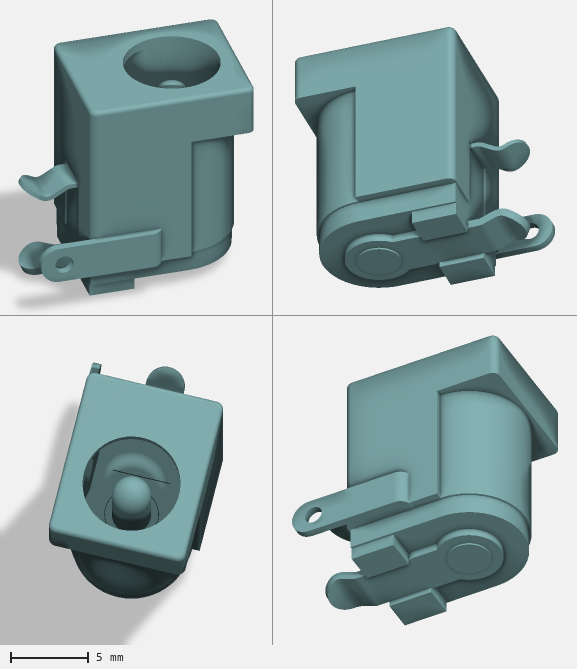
import cadquery as cq
import math


HALF_WIDTH = 4.51
BACK_Y = 4.29
FRONT_Y = -6.7
HEIGHT = 11.98
CORNER_RADIUS = 0.51
TOP_FILLET = 0.29
OVERHANG_Z = 8.67
BARREL_RADIUS = 4.02
BORE_RADIUS = 3.15
BORE_FLOOR_Z = 4.74

CAVITY_HALF_WIDTH = 3.0
CAVITY_ROOF = 0.61
CAVITY_TOP_Z = HEIGHT - CAVITY_ROOF
CAVITY_FRONT_Y = -5.8

BASE_HALF_WIDTH = 3.85
BASE_HEIGHT = 1.45
BASE_FRONT_Y = -6.58
FOOT_HEIGHT = 0.87
FOOT_LENGTH = 3.02
FOOT_OUTER_X = 3.7
FOOT_INNER_X = 1.55

RECESS_WIDTH = 3.03
RECESS_HEIGHT = 4.87

PIN_RADIUS = 1.26
PIN_TOP_Z = 10.44
COLLAR_RADIUS = 1.71
COLLAR_HOLE_RADIUS = 1.75
RIVET_RADIUS = 1.42
RIVET_HEIGHT = 0.12

SPRING_THICKNESS = 0.3
SPRING_TAB_WIDTH = 2.51
SPRING_PLATE_WIDTH = 3.77
SPRING_EDGE_Y = -2.62
FLOOR_EDGE_Y = -2.57
SPRING_FLAT_END_Y = -7.1
SPRING_ANGLE = 30.0
SPRING_SLOPE = 0.93
SPRING_BEND_RADII = (0.75, 0.75)
SPRING_TIP_LENGTH = 1.26

SHEET = 0.54
TERMINAL_DISC_RADIUS = 2.2
TERMINAL_STRIP_WIDTH = 3.25
TERMINAL_SHOULDER_Y = -3.1
TERMINAL_TAB_WIDTH = 3.03
SHOULDER_RADIUS = 1.16
TERMINAL_FLAT_END_Y = -7.34
TERMINAL_ANGLE = 22.0
TERMINAL_SLOPE = 0.87
TERMINAL_BEND_RADII = (0.52, 1.16)
TERMINAL_TIP_LENGTH = 0.97

SIDE_TAB_RADIUS = 1.25
SIDE_TAB_Z = 1.22
SIDE_TIP_Y = -10.21
SIDE_HOLE_Y = -8.67
SIDE_HOLE_RADIUS = 0.61
SIDE_BEND_RADIUS = 0.85
SIDE_BACK_Y = -1.95


def block(x_range, y_range, z_range):
    """Box between two limits along each axis."""
    size = [high - low for low, high in (x_range, y_range, z_range)]
    corner = (x_range[0], y_range[0], z_range[0])
    return cq.Workplane("XY").box(*size, centered=False).translate(corner)


def cylinder(radius, bottom, top):
    """Cylinder on the pin axis."""
    return cq.Workplane("XY").workplane(offset=bottom).circle(radius).extrude(top - bottom)


def wavy_tab(width, thickness, start_y, flat_end_y, mid_z, angle, slope, bend_radii, tip_length, side):
    """Flat strip along -Y that bends by an angle, bends back by twice that angle and
    ends in a straight tip with a round end. The first bend goes up for side = 1 and
    down for side = -1. The path runs along the middle of the sheet."""
    cosine = math.cos(math.radians(angle))
    sine = math.sin(math.radians(angle))
    first_radius, second_radius = bend_radii
    slope_start = (
        flat_end_y - first_radius * sine,
        mid_z + side * first_radius * (1 - cosine),
    )
    slope_end = (slope_start[0] - slope * cosine, slope_start[1] + side * slope * sine)
    tip_start = (slope_end[0] - 2 * second_radius * sine, slope_end[1])
    tip_end = (tip_start[0] - tip_length * cosine, tip_start[1] - side * tip_length * sine)
    path = (
        cq.Workplane("YZ")
        .moveTo(start_y, mid_z)
        .lineTo(flat_end_y, mid_z)
        .tangentArcPoint(slope_start, relative=False)
        .lineTo(*slope_end)
        .tangentArcPoint(tip_start, relative=False)
        .lineTo(*tip_end)
    )
    strip = cq.Workplane("XZ", origin=(0, start_y, mid_z)).rect(width, thickness).sweep(path)

    radius = width / 2
    tip_plane = cq.Plane(origin=(0, *tip_end), xDir=(1, 0, 0), normal=(0, -side * sine, cosine))
    cutter_height = 2 * thickness
    square = cq.Workplane(tip_plane).center(0, radius / 2).rect(width, radius)
    disc = cq.Workplane(tip_plane).center(0, radius).circle(radius)
    corners = square.extrude(cutter_height, both=True).cut(disc.extrude(cutter_height, both=True))
    return strip.cut(corners)


def make_spring_contact():
    top = BORE_FLOOR_Z
    bottom = top - SPRING_THICKNESS
    half_width = SPRING_PLATE_WIDTH / 2
    plate = block((-half_width, half_width), (CAVITY_FRONT_Y, SPRING_EDGE_Y), (bottom, top))
    tab = wavy_tab(
        SPRING_TAB_WIDTH, SPRING_THICKNESS, CAVITY_FRONT_Y, SPRING_FLAT_END_Y,
        (top + bottom) / 2, SPRING_ANGLE, SPRING_SLOPE, SPRING_BEND_RADII,
        SPRING_TIP_LENGTH, -1,
    )
    return plate.union(tab)


def make_pin_terminal():
    top = -BASE_HEIGHT
    bottom = top - SHEET
    strip_x = TERMINAL_STRIP_WIDTH / 2
    strip_end_y = TERMINAL_SHOULDER_Y - SHOULDER_RADIUS
    disc = cylinder(TERMINAL_DISC_RADIUS, bottom, top)
    strip = block((-strip_x, strip_x), (strip_end_y, 0), (bottom, top))
    strip = strip.edges("|Z and <Y").fillet(SHOULDER_RADIUS)
    tab = wavy_tab(
        TERMINAL_TAB_WIDTH, SHEET, TERMINAL_SHOULDER_Y, TERMINAL_FLAT_END_Y,
        (top + bottom) / 2, TERMINAL_ANGLE, TERMINAL_SLOPE, TERMINAL_BEND_RADII,
        TERMINAL_TIP_LENGTH, 1,
    )
    return disc.union(strip).union(tab).cut(cylinder(PIN_RADIUS, bottom, top))


def make_side_terminal():
    outer_x = HALF_WIDTH + SHEET
    bend_x = outer_x - SIDE_BEND_RADIUS
    bend_y = SIDE_BACK_Y - SIDE_BEND_RADIUS
    disc_y = SIDE_TIP_Y + SIDE_TAB_RADIUS
    bottom = SIDE_TAB_Z - SIDE_TAB_RADIUS
    width = 2 * SIDE_TAB_RADIUS
    inner_radius = SIDE_BEND_RADIUS - SHEET
    diagonal = math.sqrt(0.5)
    sheet = (
        cq.Workplane("XY")
        .workplane(offset=bottom)
        .moveTo(BASE_HALF_WIDTH, SIDE_BACK_Y)
        .lineTo(bend_x, SIDE_BACK_Y)
        .threePointArc(
            (bend_x + SIDE_BEND_RADIUS * diagonal, bend_y + SIDE_BEND_RADIUS * diagonal),
            (outer_x, bend_y),
        )
        .lineTo(outer_x, disc_y)
        .lineTo(HALF_WIDTH, disc_y)
        .lineTo(HALF_WIDTH, bend_y)
        .threePointArc(
            (bend_x + inner_radius * diagonal, bend_y + inner_radius * diagonal),
            (bend_x, bend_y + inner_radius),
        )
        .lineTo(BASE_HALF_WIDTH, bend_y + inner_radius)
        .close()
        .extrude(width)
    )
    side_plane = cq.Workplane("YZ", origin=(HALF_WIDTH, 0, SIDE_TAB_Z))
    tip = side_plane.center(disc_y, 0).circle(SIDE_TAB_RADIUS).extrude(SHEET)
    hole = side_plane.center(SIDE_HOLE_Y, 0).circle(SIDE_HOLE_RADIUS).extrude(SHEET)
    return sheet.union(tip).cut(hole)


def make_pin():
    rivet_top = -BASE_HEIGHT - SHEET
    dome_z = PIN_TOP_Z - PIN_RADIUS
    dome = cq.Workplane("XY").sphere(PIN_RADIUS).translate((0, 0, dome_z))
    rivet = cylinder(RIVET_RADIUS, rivet_top - RIVET_HEIGHT, rivet_top)
    return cylinder(PIN_RADIUS, rivet_top, dome_z).union(dome).union(rivet)


def make_collar():
    return cylinder(COLLAR_RADIUS, 0, BORE_FLOOR_Z).cut(cylinder(PIN_RADIUS, 0, BORE_FLOOR_Z))


def make_base():
    body = block((-BASE_HALF_WIDTH, BASE_HALF_WIDTH), (BASE_FRONT_Y, 0), (-BASE_HEIGHT, 0))
    body = body.union(cylinder(BASE_HALF_WIDTH, -BASE_HEIGHT, 0))
    foot_y = (BASE_FRONT_Y, BASE_FRONT_Y + FOOT_LENGTH)
    foot_z = (-BASE_HEIGHT - FOOT_HEIGHT, -BASE_HEIGHT)
    for foot_x in ((-FOOT_OUTER_X, -FOOT_INNER_X), (FOOT_INNER_X, FOOT_OUTER_X)):
        body = body.union(block(foot_x, foot_y, foot_z))
    return body.cut(cylinder(PIN_RADIUS, -BASE_HEIGHT, 0))


def make_housing(spring_contact, side_terminal):
    width = (-HALF_WIDTH, HALF_WIDTH)
    body = block(width, (FRONT_Y, BACK_Y), (0, HEIGHT))
    body = body.edges("|Z").fillet(CORNER_RADIUS)
    body = body.faces(">Z").edges().fillet(TOP_FILLET)

    body = body.cut(block(width, (0, BACK_Y), (0, OVERHANG_Z)))
    body = body.union(cylinder(BARREL_RADIUS, 0, OVERHANG_Z))

    body = body.cut(cylinder(BORE_RADIUS, BORE_FLOOR_Z, HEIGHT))
    body = body.cut(cylinder(COLLAR_HOLE_RADIUS, 0, BORE_FLOOR_Z))
    cavity_x = (-CAVITY_HALF_WIDTH, CAVITY_HALF_WIDTH)
    body = body.cut(block(cavity_x, (CAVITY_FRONT_Y, 0), (BORE_FLOOR_Z, CAVITY_TOP_Z)))

    step_x = (-SPRING_PLATE_WIDTH / 2, SPRING_PLATE_WIDTH / 2)
    step_z = (BORE_FLOOR_Z - SPRING_THICKNESS, BORE_FLOOR_Z)
    body = body.cut(block(step_x, (CAVITY_FRONT_Y, FLOOR_EDGE_Y), step_z))
    body = body.cut(spring_contact)
    recess_x = (-RECESS_WIDTH / 2, RECESS_WIDTH / 2)
    body = body.cut(block(recess_x, (FRONT_Y, BASE_FRONT_Y), (0, RECESS_HEIGHT)))

    return body.cut(side_terminal)


spring_contact = make_spring_contact()
pin_terminal = make_pin_terminal()
side_terminal = make_side_terminal()
pin = make_pin()
collar = make_collar()
base = make_base()
housing = make_housing(spring_contact, side_terminal)

result = cq.Compound.makeCompound([
    housing.solids().val(),
    base.solids().val(),
    pin.solids().val(),
    collar.solids().val(),
    spring_contact.solids().val(),
    pin_terminal.solids().val(),
    side_terminal.solids().val(),
])